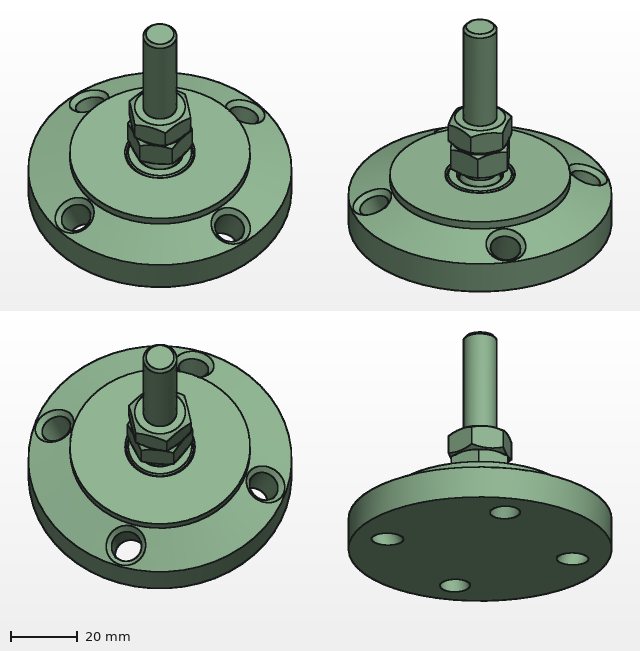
import cadquery as cq
import math


base_diameter = 79.0
rim_height = 9.8
boss_diameter = 54.0
slope_top = 14.45
base_height = 16.9

hole_count = 4
hole_diameter = 9.0
countersink_diameter = 12.25
hole_radius = hole_diameter / 2
countersink_radius = countersink_diameter / 2
countersink_depth = countersink_radius - hole_radius
slope_run = (base_diameter - boss_diameter) / 2
slope_angle = math.degrees(math.atan2(slope_top - rim_height, slope_run))
hole_pitch_radius = (base_diameter + boss_diameter) / 4
hole_pitch_height = (rim_height + slope_top) / 2
cutter_length = 2 * base_height

total_height = 69.05
shank_diameter = 10.0
tip_diameter = 8.4
tip_chamfer_height = 0.95
ball_diameter = 12.95
ball_top = 17.85
shank_radius = shank_diameter / 2
ball_radius = ball_diameter / 2
ball_center = ball_top - math.sqrt(ball_radius**2 - shank_radius**2)
ball_bottom = ball_center - ball_radius

ring_diameter = 20.0
edge_chamfer = 0.51
pocket_floor = ball_bottom

across_flats = 17.0
hex_height = 8.1
nut_height = 8.05
hex_bottom = 20.85
nut_bottom = hex_bottom + hex_height
hex_turn = -17.6
nut_turn = 90.0
hex_face_diameter = 16.75
nut_face_diameter = 15.2
corner_chamfer_angle = 30.0


def revolve_profile(points):
    """Revolve a closed outline of (radius, height) points about Z."""
    return cq.Workplane("XZ").polyline(points).close().revolve(360, (0, 0), (0, 1))


def chamfered_hexagon(bottom, height, turn, face_diameter):
    """Hexagonal prism whose corners are cut conically at both ends."""
    corner_radius = across_flats / math.sqrt(3)
    face_radius = face_diameter / 2
    corner_drop = (corner_radius - face_radius) * math.tan(math.radians(corner_chamfer_angle))
    top = bottom + height
    prism = (
        cq.Workplane("XY")
        .polygon(6, 2 * corner_radius)
        .extrude(height)
        .rotate((0, 0, 0), (0, 0, 1), turn)
        .translate((0, 0, bottom))
    )
    envelope = revolve_profile([
        (0, bottom),
        (face_radius, bottom),
        (corner_radius, bottom + corner_drop),
        (corner_radius, top - corner_drop),
        (face_radius, top),
        (0, top),
    ])
    return prism.intersect(envelope)


def mounting_hole(angle):
    """Cutter for one countersunk hole at the given angle around the base."""
    cutter = revolve_profile([
        (0, -cutter_length),
        (hole_radius, -cutter_length),
        (hole_radius, -countersink_depth),
        (countersink_radius, 0),
        (countersink_radius, base_height),
        (0, base_height),
    ])
    return (
        cutter.rotate((0, 0, 0), (0, 1, 0), slope_angle)
        .translate((hole_pitch_radius, 0, hole_pitch_height))
        .rotate((0, 0, 0), (0, 0, 1), angle)
    )


def make_base():
    ring_radius = ring_diameter / 2
    base = revolve_profile([
        (0, 0),
        (base_diameter / 2, 0),
        (base_diameter / 2, rim_height),
        (boss_diameter / 2, slope_top),
        (boss_diameter / 2, base_height),
        (ring_radius + edge_chamfer, base_height),
        (ring_radius, base_height - edge_chamfer),
        (ring_radius, pocket_floor),
        (0, pocket_floor),
    ])
    for index in range(hole_count):
        base = base.cut(mounting_hole(index * 360 / hole_count))
    return base


def make_ring():
    """Ring chamfered on both top edges, its bore fitting round the ball."""
    ring_radius = ring_diameter / 2
    chamfer_bottom = base_height - edge_chamfer
    return revolve_profile([
        (ball_radius, pocket_floor),
        (ring_radius, pocket_floor),
        (ring_radius, chamfer_bottom),
        (ring_radius - edge_chamfer, base_height),
        (ball_radius + edge_chamfer, base_height),
        (ball_radius, chamfer_bottom),
    ])


def make_spindle():
    """Ball, shank with chamfered tip, and hexagon in one piece."""
    turned = (
        cq.Workplane("XZ")
        .moveTo(0, ball_bottom)
        .threePointArc((ball_radius, ball_center), (shank_radius, ball_top))
        .lineTo(shank_radius, total_height - tip_chamfer_height)
        .lineTo(tip_diameter / 2, total_height)
        .lineTo(0, total_height)
        .close()
        .revolve(360, (0, 0), (0, 1))
    )
    return turned.union(chamfered_hexagon(hex_bottom, hex_height, hex_turn, hex_face_diameter))


def make_nut():
    bore = cq.Workplane("XY").workplane(offset=nut_bottom).circle(shank_radius).extrude(nut_height)
    return chamfered_hexagon(nut_bottom, nut_height, nut_turn, nut_face_diameter).cut(bore)


base = make_base()
ring = make_ring()
spindle = make_spindle()
nut = make_nut()

bodies = [base, ring, spindle, nut]
result = cq.Compound.makeCompound([body.solids().val() for body in bodies])